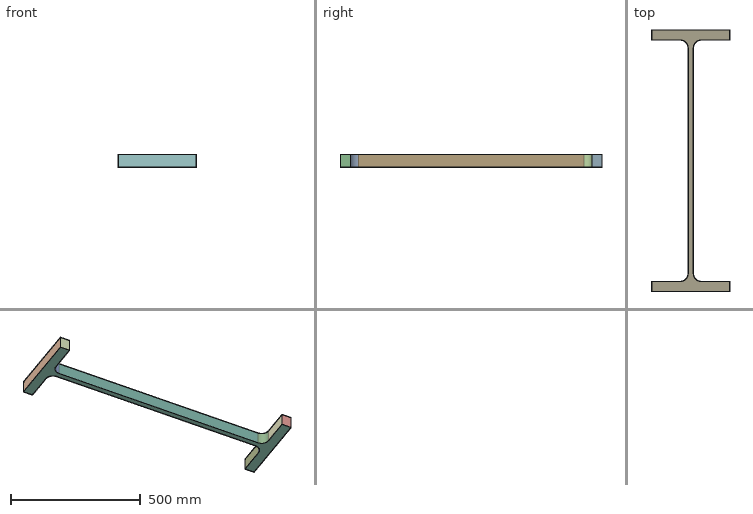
import cadquery as cq

SECTION_DEPTH = 1008.0
FLANGE_WIDTH = 302.0
FLANGE_THICKNESS = 40.0
WEB_THICKNESS = 21.0
ROOT_RADIUS = 30.0
BEAM_LENGTH = 50.0

FLANGE_OFFSET = (SECTION_DEPTH - FLANGE_THICKNESS) / 2


def make_flange(side):
    """Flange at the +Y (side = 1) or -Y (side = -1) end of the web."""
    return (
        cq.Workplane("XY")
        .center(0, side * FLANGE_OFFSET)
        .rect(FLANGE_WIDTH, FLANGE_THICKNESS)
        .extrude(BEAM_LENGTH)
    )


def make_web():
    """Web running the full depth, so that it merges with both flanges."""
    return cq.Workplane("XY").rect(WEB_THICKNESS, SECTION_DEPTH).extrude(BEAM_LENGTH)


def round_roots(beam):
    """Fillet the four inner corners where the web meets the flanges."""
    inner_zone = cq.selectors.BoxSelector(
        (-WEB_THICKNESS, -FLANGE_OFFSET, 0),
        (WEB_THICKNESS, FLANGE_OFFSET, BEAM_LENGTH),
    )
    return beam.edges("|Z").edges(inner_zone).fillet(ROOT_RADIUS)


beam = make_web()
for side in (-1, 1):
    beam = beam.union(make_flange(side))
beam = beam.clean()

result = round_roots(beam)